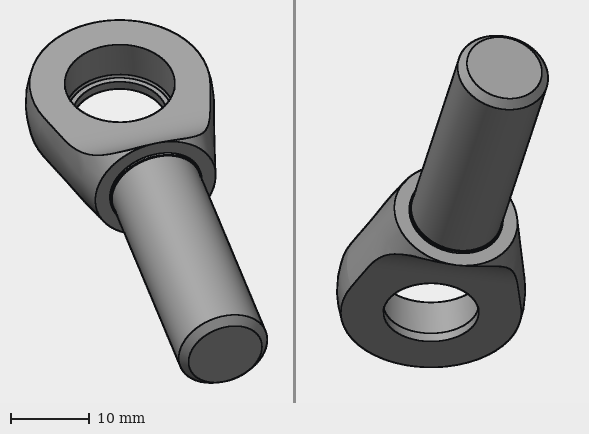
import cadquery as cq
import math

total_length = 59.4
head_end = 28.05

ball_radius = 12.0
cone_end_radius = 7.99
eye_thickness = 7.0
blend_radius = 10.0

bore_radius = 7.0
lip_radius = 6.05
lip_height = 1.3
seat_cone_height = 0.35
seat_cone_width = 0.25

shank_radius = 5.9
shank_chamfer = 1.0
neck_radius = 6.05
neck_length = 0.35

ball_center = ball_radius - total_length / 2
head_face = head_end - total_length / 2
shank_end = total_length / 2
half_eye = eye_thickness / 2


def make_head():
    """Revolve the ball and its tangent cone about the X axis."""
    reach = head_face - ball_center
    angle = math.acos(ball_radius / math.hypot(reach, cone_end_radius))
    normal = math.atan2(cone_end_radius, reach) + angle
    middle = (math.pi + normal) / 2

    def on_ball(direction):
        return (
            ball_center + ball_radius * math.cos(direction),
            ball_radius * math.sin(direction),
        )

    return (
        cq.Workplane("XY")
        .moveTo(ball_center - ball_radius, 0)
        .threePointArc(on_ball(middle), on_ball(normal))
        .lineTo(head_face, cone_end_radius)
        .lineTo(head_face, 0)
        .close()
        .revolve(360, (0, 0, 0), (1, 0, 0))
    )


def make_flat_cutter():
    """Material above the upper flat and its concave blend to the head face."""
    blend_center_z = half_eye + blend_radius
    drop = blend_center_z - cone_end_radius
    blend_start = head_face - math.sqrt(blend_radius**2 - drop**2)
    half_sweep = math.acos(drop / blend_radius) / 2
    blend_middle = (
        blend_start + blend_radius * math.sin(half_sweep),
        blend_center_z - blend_radius * math.cos(half_sweep),
    )
    return (
        cq.Workplane("XZ")
        .moveTo(-total_length, half_eye)
        .lineTo(blend_start, half_eye)
        .threePointArc(blend_middle, (head_face, cone_end_radius))
        .lineTo(head_face, total_length)
        .lineTo(-total_length, total_length)
        .close()
        .extrude(total_length / 2, both=True)
    )


def make_bore():
    """Stepped bore with a lip at the bottom and a narrow cone around its seat."""
    lip_top = lip_height - half_eye
    profile = [
        (0, -half_eye),
        (lip_radius, -half_eye),
        (lip_radius, lip_top),
        (bore_radius - seat_cone_width, lip_top),
        (bore_radius, lip_top + seat_cone_height),
        (bore_radius, half_eye),
        (0, half_eye),
    ]
    bore = cq.Workplane("XZ").polyline(profile).close().revolve(360, (0, 0, 0), (0, 1, 0))
    return bore.translate((ball_center, 0, 0))


def make_shank():
    """Chamfered round shank with a short neck against the head."""
    neck = cq.Workplane("YZ").workplane(offset=head_face).circle(neck_radius).extrude(neck_length)
    shank = (
        cq.Workplane("YZ")
        .workplane(offset=head_face)
        .circle(shank_radius)
        .extrude(shank_end - head_face)
        .faces(">X")
        .chamfer(shank_chamfer)
    )
    return shank.union(neck)


upper_cutter = make_flat_cutter()
lower_cutter = upper_cutter.mirror("XY")
head = make_head().cut(upper_cutter).cut(lower_cutter).cut(make_bore())
result = head.union(make_shank())